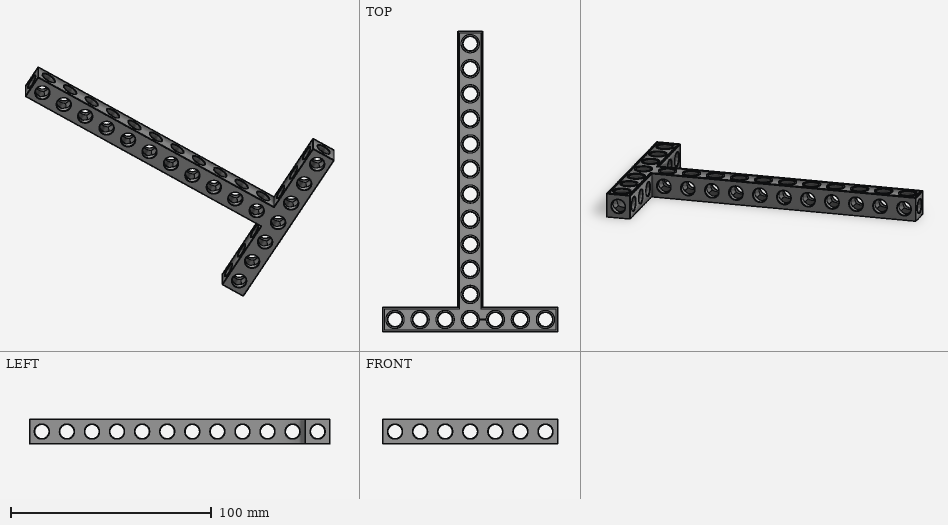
import cadquery as cq

BEAM_LENGTH = 150.0
STEM_HOLES = 12
BAR_HOLES = 7
HOLE_DIAMETER = 7.0
EDGE_CHAMFER = 0.3
RIM_DIAMETER = 9.2
BORDER = 1.0
RECESS_DEPTH = 0.3
RIB_WIDTH = 0.3

PITCH = BEAM_LENGTH / STEM_HOLES
HALF = PITCH / 2
BAR_LENGTH = BAR_HOLES * PITCH
STEM_END = BEAM_LENGTH - HALF
BAR_END = BAR_LENGTH / 2
STEM_CENTER = (STEM_END - HALF) / 2

BAR_POSITIONS = [(i - (BAR_HOLES - 1) / 2) * PITCH for i in range(BAR_HOLES)]
STEM_POSITIONS = [i * PITCH for i in range(STEM_HOLES)]
VERTICAL_HOLES = [(x, 0) for x in BAR_POSITIONS] + [(0, y) for y in STEM_POSITIONS[1:]]


def beam_body():
    """T of two square beams, each with its outer edges chamfered."""
    bar = cq.Workplane("XY").box(BAR_LENGTH, PITCH, PITCH)
    stem = cq.Workplane("XY").center(0, STEM_CENTER).box(PITCH, BEAM_LENGTH, PITCH)
    return bar.edges().chamfer(EDGE_CHAMFER).union(stem.edges().chamfer(EDGE_CHAMFER))


def top_recess():
    """Shallow T-shaped pocket that spares a lip, a ring around each hole and one thin rib."""
    floor = cq.Workplane("XY").workplane(offset=HALF - RECESS_DEPTH)
    width = PITCH - 2 * BORDER
    bar = floor.rect(BAR_LENGTH - 2 * BORDER, width).extrude(RECESS_DEPTH)
    stem = floor.center(0, STEM_CENTER).rect(width, BEAM_LENGTH - 2 * BORDER).extrude(RECESS_DEPTH)
    rings = floor.pushPoints(VERTICAL_HOLES).circle(RIM_DIAMETER / 2).extrude(RECESS_DEPTH)
    rib = floor.center(HALF, 0).rect(PITCH, RIB_WIDTH).extrude(RECESS_DEPTH)
    return bar.union(stem).cut(rings).cut(rib)


def drill(start, end):
    """Round cutter between two points on opposite faces, with a chamfered mouth at each end."""
    axis = end - start
    radius = HOLE_DIAMETER / 2
    mouth_radius = radius + EDGE_CHAMFER
    cutter = cq.Solid.makeCylinder(radius, axis.Length, start, axis)
    for mouth, inward in ((start, axis), (end, -axis)):
        cone = cq.Solid.makeCone(mouth_radius, radius, EDGE_CHAMFER, mouth, inward)
        cutter = cutter.fuse(cone)
    return cutter


def hole_cutters():
    """Cutters for every hole; the two holes through the crossing run the length of a beam."""
    cutters = []
    for x, y in VERTICAL_HOLES:
        cutters.append(drill(cq.Vector(x, y, -HALF), cq.Vector(x, y, HALF)))
    for x in BAR_POSITIONS:
        far_side = STEM_END if x == 0 else HALF
        cutters.append(drill(cq.Vector(x, -HALF, 0), cq.Vector(x, far_side, 0)))
    for y in STEM_POSITIONS:
        side = BAR_END if y == 0 else HALF
        cutters.append(drill(cq.Vector(-side, y, 0), cq.Vector(side, y, 0)))
    return cutters


part = beam_body().cut(top_recess())
for cutter in hole_cutters():
    part = part.cut(cq.Workplane(cutter))
result = part.solids()